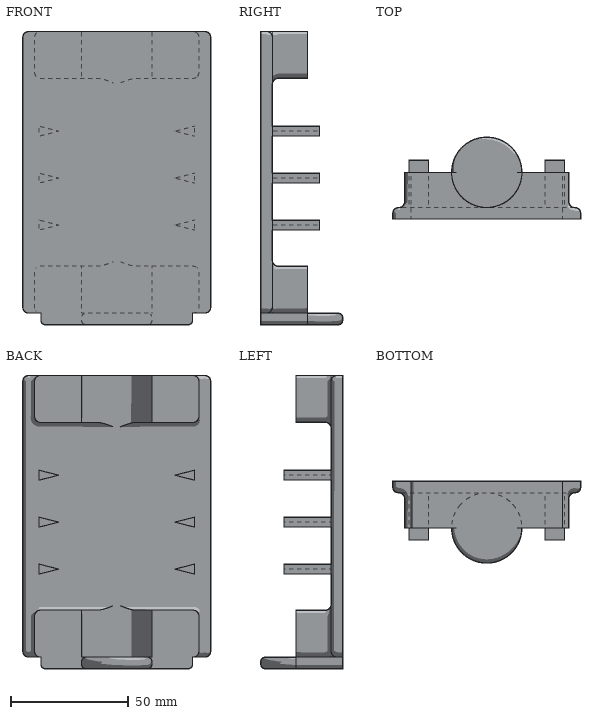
import cadquery as cq

total_height = 125.0
plate_width = 80.1
plate_thickness = 5.0

foot_thickness = 5.0
foot_width = 64.8
disc_diameter = 30.0
foot_rounding = 2.0

block_width = 70.0
block_depth = 20.0
block_height = 20.0
bore_diameter = disc_diameter

rounding = 2.5

tooth_outer_x = 33.1
tooth_width = 8.4
tooth_base = 4.2
tooth_depth = 25.1
tooth_pitch = 20.0
teeth_per_column = 3

pick_margin = 0.1


def box(width, depth, z_low, z_high):
    """Box centred on x = 0 that stands on the rear face."""
    size = (width, depth, z_high - z_low)
    return cq.Workplane("XY", origin=(0, 0, z_low)).box(*size, centered=(True, False, False))


def upright_cylinder(diameter, z_low, z_high):
    """Vertical cylinder whose axis lies in the front face of the blocks."""
    plane = cq.Workplane("XY", origin=(0, block_depth, z_low))
    return plane.circle(diameter / 2).extrude(z_high - z_low)


def make_block(z_low, inner_face):
    """Saddle block rounded only on the face towards the middle of the plate."""
    block = box(block_width, block_depth, z_low, z_low + block_height)
    return block.faces(inner_face).edges("|Y").fillet(rounding)


def make_body():
    body = box(plate_width, plate_thickness, foot_thickness, total_height)
    body = body.union(make_block(foot_thickness, ">Z"))
    body = body.union(make_block(total_height - block_height, "<Z"))

    reach = block_width / 2 + pick_margin
    low = (-reach, plate_thickness - pick_margin, foot_thickness)
    high = (reach, plate_thickness + pick_margin, total_height)
    body = body.edges(cq.selectors.BoxSelector(low, high)).fillet(rounding)

    body = body.faces("<X or >X").edges("|Z and >Y").fillet(rounding)

    for end in ("<Z", ">Z"):
        body = body.faces(end).edges("not (<Y or >Y)").fillet(rounding)
    return body


def make_foot():
    foot = box(foot_width, block_depth, 0, foot_thickness)
    foot = foot.edges("|Y and <Z").fillet(foot_rounding)
    disc = upright_cylinder(disc_diameter, 0, foot_thickness).edges("%CIRCLE").fillet(foot_rounding)
    front_half = box(disc_diameter, disc_diameter, 0, foot_thickness).translate((0, block_depth, 0))
    return foot.union(disc.intersect(front_half))


def make_tooth(side, z):
    outer_x = side * tooth_outer_x
    tip_x = side * (tooth_outer_x - tooth_width)
    corners = [(outer_x, z - tooth_base / 2), (outer_x, z + tooth_base / 2), (tip_x, z)]
    return cq.Workplane("XZ").polyline(corners).close().extrude(-tooth_depth)


bore = upright_cylinder(bore_diameter, foot_thickness, total_height)
result = make_body().cut(bore).union(make_foot())
for side in (-1, 1):
    for row in range(teeth_per_column):
        offset = row - (teeth_per_column - 1) / 2
        tooth_z = total_height / 2 + offset * tooth_pitch
        result = result.union(make_tooth(side, tooth_z))